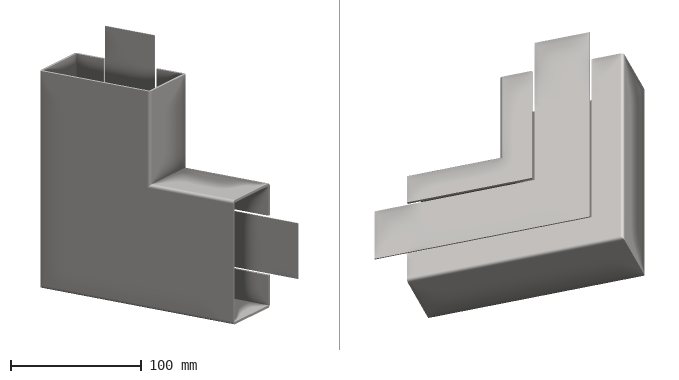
import cadquery as cq

overall = 201.5
arm_length = 175.0
duct_width = 100.0
duct_depth = 53.0
wall = 2.0
radius_beyond_wall = 0.5
corner_radius = wall + radius_beyond_wall

strip_width = 44.7
strip_thickness = 1.0
strip_gap = 1.6
slot_width = strip_width + 2 * strip_gap

section_center = duct_width / 2
bore_back = duct_depth / 2 - wall
slot_center_y = bore_back + wall / 2
strip_center_y = bore_back + strip_thickness / 2


def upright_box(width, depth, height, center_y):
    """Box standing on Z = 0, centred on the width of the upright arm."""
    return (
        cq.Workplane("XY")
        .center(section_center, center_y)
        .rect(width, depth)
        .extrude(height)
    )


def cut_to_mitre(body):
    """Keep only the part of an upright body above the 45 degree plane X = Z."""
    upper_side = (
        cq.Workplane("XZ")
        .polyline([(0, 0), (overall, overall), (0, overall)])
        .close()
        .extrude(duct_depth, both=True)
    )
    return body.intersect(upper_side)


def swap_arms(body):
    """Mirror an upright body about the mitre plane, so that it lies along +X."""
    return body.mirror("XY").rotate((0, 0, 0), (0, 1, 0), -90)


def upright_duct():
    """Rounded tube with a full-length slot in its back wall and a mitred lower end."""
    outside = upright_box(duct_width, duct_depth, arm_length, 0).edges("|Z").fillet(corner_radius)
    bore = upright_box(duct_width - 2 * wall, duct_depth - 2 * wall, arm_length, 0)
    slot = upright_box(slot_width, wall, arm_length, slot_center_y)
    return cut_to_mitre(outside.cut(bore).cut(slot))


def upright_strip():
    """Flat cover strip that starts at the mitre and stands out of the open end of the duct."""
    return cut_to_mitre(upright_box(strip_width, strip_thickness, overall, strip_center_y))


def both_arms(upright):
    """The solid of the upright arm and its copy in the other arm."""
    return [body.solids().val() for body in (upright, swap_arms(upright))]


ducts = both_arms(upright_duct())
strips = both_arms(upright_strip())

result = cq.Compound.makeCompound([*ducts, *strips])